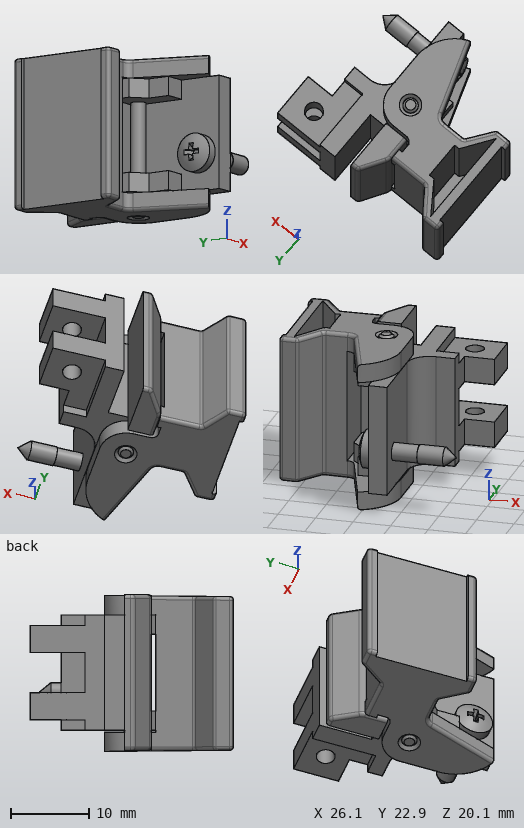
import cadquery as cq
import math


edge_radius = 0.5

pin_radius = 1.0
pin_half_length = 10.0
pin_chamfer = 0.3
countersink_radius = 1.43

bracket_half_height = 7.4
plate_thickness = 2.5
plate_left = pin_radius
plate_right = plate_left + plate_thickness
plate_bottom = -11.9
ear_top = 3.85
ear_thickness = 2.5
ear_left = -3.98
ear_toe_left = -2.03
ear_toe_bottom = -6.07
ear_toe_top = -3.02
ear_slant_top = -1.28
web_thickness = 2.5
bracket_back = 11.0
column_right = plate_right + plate_thickness
step_right = 9.0
step_bottom = 0.35
step_top = 2.37
bracket_fillet = 3.0

lug_right = 13.0
lug_bottom = 4.85
lug_thickness = 3.5
lug_middle = 4.3
lug_hole_x = 9.53
lug_hole_y = 7.9
lug_hole_radius = 1.2

wing_left = -2.55
wing_right = 0.89
wing_half_height = 10.0
wing_knee = 7.35
wing_tip_left = -0.25
wing_knee_radius = 1.55
wing_tip_radius = 0.73

lever_drop = 0.1
lever_half_height = 10.0
lever_gap_half = bracket_half_height + lever_drop
lever_draft = 0.53
lever_front = -13.05
neck_middle = 3.0
neck_half_width = 3.98
flange_half_width = 7.45
flange_corner = -10.57
neck_start = -8.05
arm_corner = -4.05
arm_corner_radius = 1.15
arm_round = plate_right
arm_tip_x = -0.6
arm_tip_y = -11.33
arm_nose_start = -5.3
notch_left = -3.07
notch_top = 5.42
notch_radius = 0.89
lip_depth = 0.6
lip_width = 1.25
cavity_left = -4.95
pocket_front = -11.22
pocket_knee = -8.4
pocket_back = -7.68
pocket_front_half = 6.6
pocket_back_half = 2.53
pocket_floor = lever_half_height - lever_gap_half

clearance = 2.6

screw_y = -8.78
screw_z = -2.53
head_radius = 2.5
head_rim = 1.25
head_dome = 0.7
shank_radius = 1.17
thread_radius = 1.25
thread_start = 6.9
thread_end = 10.35
screw_tip = 11.85
recess_half_length = 1.22
recess_bottom_half = 0.42
recess_width = 0.62
recess_depth = 1.3


def prism(points, z_low, z_high):
    """Closed polygon in X and Y, extruded from z_low to z_high."""
    return cq.Workplane("XY").workplane(offset=z_low).polyline(points).close().extrude(z_high - z_low)


def vertical_edge(x, y):
    """Selector for the vertical edge at (x, y) whose middle is at Z = 0."""
    reach = 0.03
    return cq.selectors.BoxSelector((x - reach, y - reach, -reach), (x + reach, y + reach, reach))


def make_pin():
    pin = cq.Workplane("XY", origin=(0, 0, -pin_half_length)).circle(pin_radius).extrude(2 * pin_half_length)
    return pin.faces("|Z").chamfer(pin_chamfer)


def half_height_at(x):
    """Half height of the drafted lever at a given X."""
    return lever_half_height + math.tan(math.radians(lever_draft)) * (x - arm_round)


def make_lever_blank():
    """Drafted block with all outer edges rounded, running on past the arm ends."""
    neck_top = neck_middle + neck_half_width
    neck_bottom = neck_middle - neck_half_width
    flange_top = neck_middle + flange_half_width
    flange_bottom = neck_middle - flange_half_width
    back = arm_round + clearance
    arm_lean = (arm_tip_x - arm_corner) / (arm_tip_y - neck_bottom)
    low = arm_tip_y - clearance
    outline = [
        (lever_front, flange_bottom),
        (flange_corner, flange_bottom),
        (neck_start, neck_bottom),
        (arm_corner, neck_bottom),
        (arm_tip_x - arm_lean * clearance, low),
        (back, low),
        (back, neck_top),
        (neck_start, neck_top),
        (flange_corner, flange_top),
        (lever_front, flange_top),
    ]
    height = lever_half_height + clearance
    blank = prism(outline, -height, height)
    rounded_corners = outline[0:3] + outline[7:10]
    for x, y in rounded_corners:
        blank = blank.edges(vertical_edge(x, y)).fillet(edge_radius)
    blank = blank.edges(vertical_edge(arm_corner, neck_bottom)).fillet(arm_corner_radius)

    front_half = half_height_at(lever_front)
    back_half = half_height_at(back)
    draft = (
        cq.Workplane("XZ")
        .polyline([(lever_front, -front_half), (back, -back_half), (back, back_half), (lever_front, front_half)])
        .close()
        .extrude(flange_half_width - arm_tip_y + 2 * clearance, both=True)
    )
    blank = blank.intersect(draft)
    return blank.faces(">Z or <Z").edges().fillet(edge_radius)


def make_arm_outline():
    """Prism that trims the blank to the notch, the hinge round and the arm noses."""
    far_left = lever_front - clearance
    far_top = neck_middle + flange_half_width + clearance
    height = lever_half_height + clearance
    return (
        cq.Workplane("XY")
        .workplane(offset=-height)
        .moveTo(far_left, far_top)
        .lineTo(wing_left, far_top)
        .lineTo(wing_left, notch_top)
        .lineTo(notch_left, notch_top)
        .lineTo(notch_left, arm_round + notch_radius)
        .tangentArcPoint((notch_left + notch_radius, arm_round), relative=False)
        .lineTo(0, arm_round)
        .tangentArcPoint((arm_round, 0), relative=False)
        .lineTo(arm_round, arm_nose_start)
        .tangentArcPoint((arm_tip_x, arm_tip_y), relative=False)
        .lineTo(far_left, arm_tip_y)
        .close()
        .extrude(2 * height)
    )


def make_lever():
    height = lever_half_height + clearance
    lever = make_lever_blank().intersect(make_arm_outline())

    panel_half = flange_half_width - lip_width
    lever = lever.cut(
        cq.Workplane("XY").box(2 * lip_depth, 2 * panel_half, 2 * height).translate((lever_front, neck_middle, 0))
    )

    right = arm_round + clearance
    low = arm_tip_y - clearance
    high = neck_middle + neck_half_width + clearance
    gap = [
        (cavity_left, low),
        (right, low),
        (right, high),
        (notch_left, high),
        (notch_left, notch_top),
        (cavity_left, notch_top),
    ]
    lever = lever.cut(prism(gap, -lever_gap_half, lever_gap_half))

    pocket = [
        (pocket_front, neck_middle + pocket_front_half),
        (pocket_knee, neck_middle + pocket_back_half),
        (pocket_back, neck_middle + pocket_back_half),
        (pocket_back, neck_middle - pocket_back_half),
        (pocket_knee, neck_middle - pocket_back_half),
        (pocket_front, neck_middle - pocket_front_half),
    ]
    lever = lever.cut(prism(pocket, pocket_floor - lever_half_height, height))

    lever = lever.cut(cq.Workplane("XY").circle(pin_radius).extrude(height, both=True))
    face = half_height_at(0)
    depth = countersink_radius - pin_radius
    for side in (1, -1):
        start = cq.Vector(0, 0, side * (face + depth))
        inward = cq.Vector(0, 0, -side)
        sink = cq.Solid.makeCone(countersink_radius + depth, pin_radius, 2 * depth, start, inward)
        lever = lever.cut(cq.Workplane(sink))
    return lever.translate((0, 0, -lever_drop))


def make_wing():
    """Upright wing, rounded along its outer edges; the block is trimmed after rounding."""
    block_right = wing_right + clearance
    block_bottom = ear_top - clearance
    outline = [
        (wing_left, block_bottom),
        (wing_left, wing_knee),
        (wing_tip_left, bracket_back),
        (block_right, bracket_back),
        (block_right, block_bottom),
    ]
    wing = prism(outline, -wing_half_height, wing_half_height)
    wing = wing.edges(vertical_edge(wing_left, wing_knee)).fillet(wing_knee_radius)
    wing = wing.edges(vertical_edge(wing_tip_left, bracket_back)).fillet(wing_tip_radius)
    wing = wing.faces("|Z").edges().fillet(edge_radius)
    kept = [
        (wing_left, ear_top),
        (wing_right, ear_top),
        (wing_right, bracket_back),
        (wing_left, bracket_back),
    ]
    return wing.intersect(prism(kept, -wing_half_height, wing_half_height))


def make_bracket():
    outline = [
        (plate_left, plate_bottom),
        (plate_right, plate_bottom),
        (plate_right, step_bottom),
        (step_right, step_bottom),
        (step_right, step_top),
        (column_right, step_top),
        (column_right, bracket_back),
        (plate_right, bracket_back),
        (plate_right, ear_top),
        (plate_left, ear_top),
    ]
    bracket = prism(outline, -bracket_half_height, bracket_half_height)
    bracket = bracket.edges(vertical_edge(plate_right, step_bottom)).fillet(bracket_fillet)

    web_bottom = ear_top - web_thickness
    web = [
        (wing_left, web_bottom),
        (plate_left, web_bottom),
        (plate_left, ear_top),
        (wing_left, ear_top),
    ]
    bracket = bracket.union(prism(web, -bracket_half_height, bracket_half_height))

    ear_corner = wing_left - ear_left
    ear = [
        (plate_left, ear_toe_bottom),
        (ear_toe_left, ear_toe_bottom),
        (ear_toe_left, ear_toe_top),
        (ear_left, ear_slant_top),
        (ear_left, ear_top - ear_corner),
        (wing_left, ear_top),
        (plate_left, ear_top),
    ]
    ear_inner = bracket_half_height - ear_thickness
    bracket = bracket.union(prism(ear, ear_inner, bracket_half_height))
    bracket = bracket.union(prism(ear, -bracket_half_height, -ear_inner))
    bracket = bracket.union(make_wing())
    bracket = bracket.cut(cq.Workplane("XY").circle(pin_radius).extrude(bracket_half_height, both=True))

    lug = [
        (column_right, step_top),
        (step_right, step_top),
        (step_right, lug_bottom),
        (lug_right, lug_bottom),
        (lug_right, bracket_back),
        (column_right, bracket_back),
    ]
    for middle in (lug_middle, -lug_middle):
        bracket = bracket.union(prism(lug, middle - lug_thickness / 2, middle + lug_thickness / 2))
    lug_hole = cq.Workplane("XY").center(lug_hole_x, lug_hole_y).circle(lug_hole_radius)
    bracket = bracket.cut(lug_hole.extrude(bracket_half_height, both=True))

    screw_hole = cq.Workplane("YZ").center(screw_y, screw_z).circle(shank_radius)
    return bracket.cut(screw_hole.extrude(plate_right + clearance))


def make_screw():
    rim = plate_left - head_rim
    apex = rim - head_dome
    dome_sphere = (head_radius**2 + head_dome**2) / (2 * head_dome)
    half_angle = math.asin(head_radius / dome_sphere) / 2
    dome_middle = (
        apex + dome_sphere * (1 - math.cos(half_angle)),
        dome_sphere * math.sin(half_angle),
    )
    screw = (
        cq.Workplane("XY")
        .moveTo(apex, 0)
        .threePointArc(dome_middle, (rim, head_radius))
        .lineTo(plate_left, head_radius)
        .lineTo(plate_left, shank_radius)
        .lineTo(thread_start, shank_radius)
        .lineTo(thread_start, thread_radius)
        .lineTo(thread_end, thread_radius)
        .lineTo(screw_tip, 0)
        .close()
        .revolve(360, (0, 0, 0), (1, 0, 0))
    )

    slot = (
        cq.Workplane("XY")
        .polyline([
            (apex, -recess_half_length),
            (apex + recess_depth, -recess_bottom_half),
            (apex + recess_depth, recess_bottom_half),
            (apex, recess_half_length),
        ])
        .close()
        .extrude(recess_width / 2, both=True)
    )
    for angle in (0, 90):
        screw = screw.cut(slot.rotate((0, 0, 0), (1, 0, 0), angle))
    return screw.translate((0, screw_y, screw_z))


lever = make_lever()
bracket = make_bracket()
pin = make_pin()
screw = make_screw()

result = cq.Compound.makeCompound([lever.val(), bracket.val(), pin.val(), screw.val()])